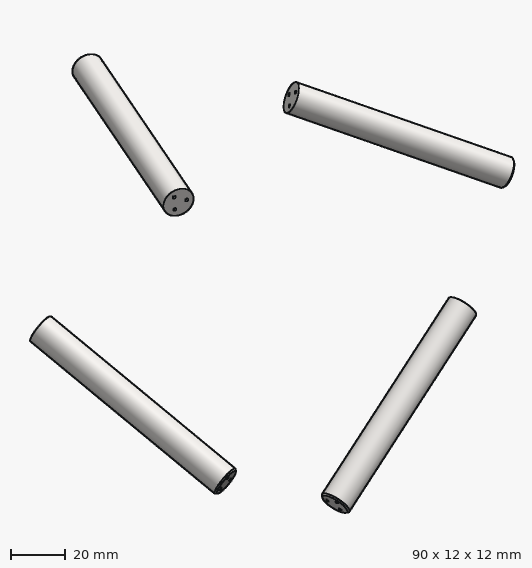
import cadquery as cq
import math

length = 90.0
diameter = 12.0
chamfer = 0.6

channel_count = 3
channel_diameter = 1.2
channel_circle_radius = 3.2
first_channel_angle = 105.0
helix_angle = 30.0

helix_pitch = math.pi * diameter / math.tan(math.radians(helix_angle))
channel_twist = 360.0 * length / helix_pitch


def make_rod():
    """Cylinder centred on the origin, chamfered at its -X end."""
    rod = cq.Workplane("YZ", origin=(-length / 2, 0, 0)).circle(diameter / 2).extrude(length)
    return rod.faces("<X").edges().chamfer(chamfer)


def make_channel(start_angle):
    """Right-handed helical channel running the whole length of the rod."""
    angle = math.radians(start_angle)
    centre_y = channel_circle_radius * math.cos(angle)
    centre_z = channel_circle_radius * math.sin(angle)
    return (
        cq.Workplane("YZ", origin=(-length / 2, 0, 0))
        .moveTo(centre_y, centre_z)
        .circle(channel_diameter / 2)
        .twistExtrude(length, channel_twist)
    )


result = make_rod()
for index in range(channel_count):
    result = result.cut(make_channel(first_channel_angle + index * 360.0 / channel_count))